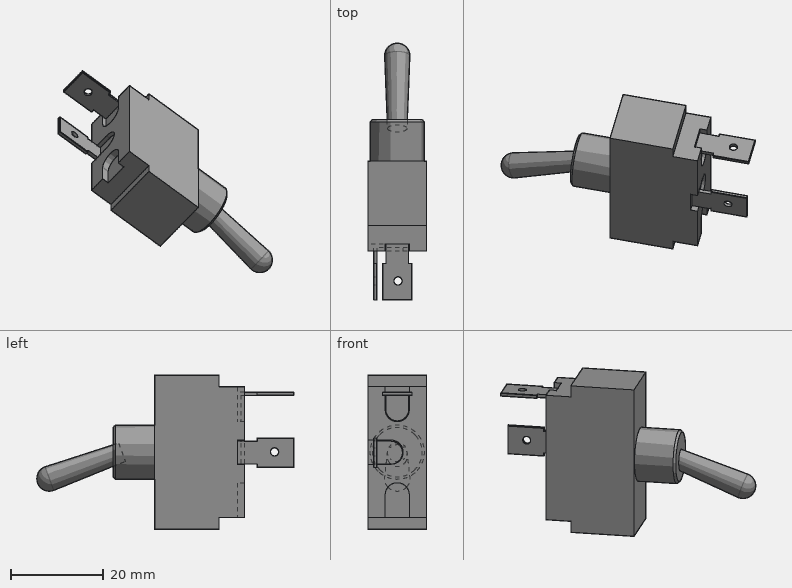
import cadquery as cq
import math


WIDTH = 12.8
HEIGHT = 33.5
MAIN_DEPTH = 14.0
HOUSING_DEPTH = 19.55
STEP_HEIGHT = 2.5
BUSHING_DIAMETER = 11.8
BUSHING_LENGTH = 9.05
BUSHING_CHAMFER = 0.5

SLOT_WIDTH = 5.25
SLOT_DEPTH = 1.55
OUTER_SLOT_END = 6.65
MIDDLE_SLOT_END = 1.3

OVERALL_LENGTH = 55.85
LEVER_ANGLE = 20.0
LEVER_TIP_DIAMETER = 5.5
LEVER_ROOT_DIAMETER = 4.3
PIVOT_DEPTH = 1.95

SHEET_THICKNESS = 0.8
BLADE_WIDTH = 6.5
BLADE_LENGTH = 8.0
NECK_WIDTH = 4.95
BLADE_CHAMFER = 0.1
TERMINAL_PROJECTION = 10.65
TERMINAL_HOLE_DIAMETER = 1.75
HOLE_FROM_TIP = 4.2
HOLE_OFFSET = 0.15
FOOT_REACH = 5.85
FOOT_GAP = 0.15
MIDDLE_TERMINAL_SHIFT = -0.1

REAR_Y = -HOUSING_DEPTH
SLOT_FLOOR_Y = REAR_Y + SLOT_DEPTH
TIP_Y = REAR_Y - TERMINAL_PROJECTION
PIVOT_Y = BUSHING_LENGTH - PIVOT_DEPTH


def box_between(x_range, y_range, z_range):
    """Box spanning the given (low, high) limits on each axis."""
    sizes = [high - low for low, high in (x_range, y_range, z_range)]
    corner = (x_range[0], y_range[0], z_range[0])
    return cq.Workplane("XY").box(*sizes, centered=False).translate(corner)


def round_ended_pad(width, round_end, open_end, floor_y, height):
    """Pad rising towards -Y, running in Z from a rounded lower end to a square upper end."""
    half = width / 2
    arc_z = round_end + half
    return (
        cq.Workplane("XZ", origin=(0, floor_y, 0))
        .moveTo(-half, open_end)
        .lineTo(-half, arc_z)
        .threePointArc((0, round_end), (half, arc_z))
        .lineTo(half, open_end)
        .close()
        .extrude(height)
    )


def turn_about_y(shape, degrees):
    return shape.rotate((0, 0, 0), (0, 1, 0), degrees)


def make_lever():
    """Tapered lever with a hemispherical tip, tilted down about its pivot."""
    tip_radius = LEVER_TIP_DIAMETER / 2
    lever_reach = OVERALL_LENGTH + TIP_Y - PIVOT_Y
    shaft_length = (lever_reach - tip_radius) / math.cos(math.radians(LEVER_ANGLE))
    arc_mid = tip_radius * math.sqrt(0.5)
    return (
        cq.Workplane("XY")
        .lineTo(LEVER_ROOT_DIAMETER / 2, 0)
        .lineTo(tip_radius, shaft_length)
        .threePointArc((arc_mid, shaft_length + arc_mid), (0, shaft_length + tip_radius))
        .close()
        .revolve(360, (0, 0, 0), (0, 1, 0))
        .rotate((0, 0, 0), (1, 0, 0), -LEVER_ANGLE)
        .translate((0, PIVOT_Y, 0))
    )


def make_housing(lever):
    half_width = WIDTH / 2
    half_height = HEIGHT / 2
    step_z = half_height - STEP_HEIGHT
    x_range = (-half_width, half_width)
    body = box_between(x_range, (-MAIN_DEPTH, 0), (-half_height, half_height))
    rear = box_between(x_range, (REAR_Y, -MAIN_DEPTH), (-step_z, step_z))
    bushing = (
        cq.Workplane("XZ")
        .circle(BUSHING_DIAMETER / 2)
        .extrude(-BUSHING_LENGTH)
        .faces(">Y")
        .chamfer(BUSHING_CHAMFER)
    )
    body = body.union(rear).union(bushing)

    top_slot = round_ended_pad(SLOT_WIDTH, OUTER_SLOT_END, step_z, SLOT_FLOOR_Y, SLOT_DEPTH)
    bottom_slot = turn_about_y(top_slot, 180)
    middle_slot = turn_about_y(
        round_ended_pad(SLOT_WIDTH, -MIDDLE_SLOT_END, half_width, SLOT_FLOOR_Y, SLOT_DEPTH), -90
    )
    for slot in (top_slot, bottom_slot, middle_slot):
        body = body.cut(slot)
    return body.cut(lever)


def make_terminal():
    """Terminal with its blade mid-plane at Z = 0 and its foot pointing to -Z."""
    half_sheet = SHEET_THICKNESS / 2
    half_blade = BLADE_WIDTH / 2
    half_neck = NECK_WIDTH / 2
    shoulder_y = TIP_Y + BLADE_LENGTH
    sheet = (-half_sheet, half_sheet)
    blade = (
        box_between((-half_blade, half_blade), (TIP_Y, shoulder_y), sheet)
        .edges("(|Y) or (<Y and |X)")
        .chamfer(BLADE_CHAMFER)
    )
    neck = box_between((-half_neck, half_neck), (shoulder_y, SLOT_FLOOR_Y), sheet)
    foot = round_ended_pad(NECK_WIDTH, -FOOT_REACH, half_sheet, SLOT_FLOOR_Y, SHEET_THICKNESS)
    hole = (
        cq.Workplane("XY", origin=(HOLE_OFFSET, TIP_Y + HOLE_FROM_TIP, -half_sheet))
        .circle(TERMINAL_HOLE_DIAMETER / 2)
        .extrude(SHEET_THICKNESS)
    )
    return blade.union(neck).union(foot).cut(hole)


lever = make_lever()
housing = make_housing(lever)

top_terminal_z = OUTER_SLOT_END + FOOT_GAP + FOOT_REACH
middle_terminal_x = MIDDLE_SLOT_END - FOOT_GAP - FOOT_REACH
terminal_places = [
    (0, 0, top_terminal_z),
    (-90, middle_terminal_x, MIDDLE_TERMINAL_SHIFT),
]
terminals = []
for turn, x, z in terminal_places:
    terminals.append(turn_about_y(make_terminal(), turn).translate((x, 0, z)).solids().val())

result = cq.Compound.makeCompound([housing.solids().val(), lever.val(), *terminals])